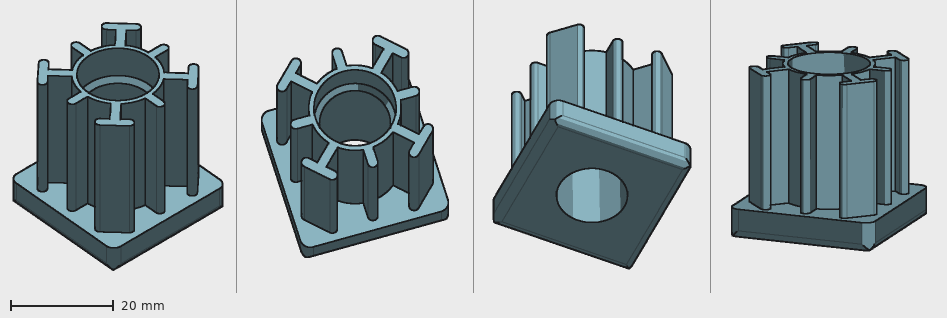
import cadquery as cq
import math

FLANGE_SIDE = 30.0
FLANGE_HEIGHT = 6.0
TOTAL_HEIGHT = 32.99
CORNER_RADIUS = 2.0
BOTTOM_RADIUS = 1.7

TUBE_DIAMETER = 18.0
BORE_DIAMETER = 16.0
HOLE_DIAMETER = 13.84
BORE_DEPTH = 6.9
SEAT_ANGLE = 45.0

RIB_THICKNESS = 2.0
SIDE_RIB_REACH = 13.05
CAP_CENTRE_DISTANCE = 14.6
CAP_LENGTH = 7.7

STEM_HEIGHT = TOTAL_HEIGHT - FLANGE_HEIGHT


def rounded_bottom_bar(plane):
    """Bar through the flange whose two lower edges are rounded."""
    half = FLANGE_SIDE / 2
    inner = half - BOTTOM_RADIUS
    return (
        cq.Workplane(plane)
        .moveTo(-half, FLANGE_HEIGHT)
        .lineTo(-half, BOTTOM_RADIUS)
        .radiusArc((-inner, 0), -BOTTOM_RADIUS)
        .lineTo(inner, 0)
        .radiusArc((half, BOTTOM_RADIUS), -BOTTOM_RADIUS)
        .lineTo(half, FLANGE_HEIGHT)
        .close()
        .extrude(half, both=True)
    )


def make_flange():
    """Square flange: lower rounds meet in mitres, vertical corners are rounded."""
    rounded_square = (
        cq.Workplane("XY")
        .rect(FLANGE_SIDE, FLANGE_SIDE)
        .extrude(FLANGE_HEIGHT)
        .edges("|Z")
        .fillet(CORNER_RADIUS)
    )
    return rounded_square.intersect(rounded_bottom_bar("XZ")).intersect(rounded_bottom_bar("YZ"))


def stem_plane():
    """Workplane on the top face of the flange."""
    return cq.Workplane("XY", origin=(0, 0, FLANGE_HEIGHT))


def make_side_rib(angle):
    """Radial rib with a rounded tip."""
    rib = (
        stem_plane()
        .center(SIDE_RIB_REACH / 2, 0)
        .slot2D(SIDE_RIB_REACH, RIB_THICKNESS)
        .extrude(STEM_HEIGHT)
    )
    return rib.rotate((0, 0, 0), (0, 0, 1), angle)


def make_corner_rib(angle):
    """Radial T-shaped rib whose cap has rounded ends."""
    web = (
        stem_plane()
        .center(CAP_CENTRE_DISTANCE / 2, 0)
        .rect(CAP_CENTRE_DISTANCE, RIB_THICKNESS)
        .extrude(STEM_HEIGHT)
    )
    cap = (
        stem_plane()
        .center(CAP_CENTRE_DISTANCE, 0)
        .slot2D(CAP_LENGTH, RIB_THICKNESS, 90)
        .extrude(STEM_HEIGHT)
    )
    return web.union(cap).rotate((0, 0, 0), (0, 0, 1), angle)


def make_bore():
    """Stepped through hole with a conical seat between the two diameters."""
    bore_radius = BORE_DIAMETER / 2
    hole_radius = HOLE_DIAMETER / 2
    seat_top = TOTAL_HEIGHT - BORE_DEPTH
    seat_bottom = seat_top - (bore_radius - hole_radius) * math.tan(math.radians(SEAT_ANGLE))
    return (
        cq.Workplane("XZ")
        .lineTo(hole_radius, 0)
        .lineTo(hole_radius, seat_bottom)
        .lineTo(bore_radius, seat_top)
        .lineTo(bore_radius, TOTAL_HEIGHT)
        .lineTo(0, TOTAL_HEIGHT)
        .close()
        .revolve(360, (0, 0, 0), (0, 1, 0))
    )


tube = stem_plane().circle(TUBE_DIAMETER / 2).extrude(STEM_HEIGHT)
body = make_flange().union(tube)
for quarter_turn in (0, 90, 180, 270):
    body = body.union(make_side_rib(quarter_turn))
    body = body.union(make_corner_rib(quarter_turn + 45))

result = body.cut(make_bore())